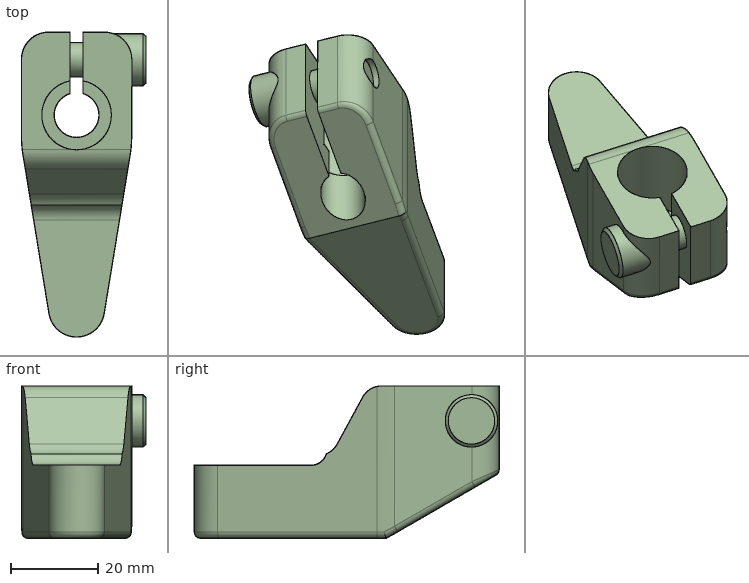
import cadquery as cq
import math


length = 69.8
height = 34.9
width = 25.3
half_width = width / 2
corner_radius = 6.3

nose_radius = 6.4
taper_angle = math.radians(9.3)
taper_blend_radius = 25.15

top_flat_end = 26.9
shoulder_radius = 5.0
ramp_angle = math.radians(61.5)
ramp_end_y = -37.1
step_y = -39.6
step_z = 19.35
step_radius = 5.0
toe_radius = 3.55
lever_start_y = -43.0
lever_top_z = 16.75
foot_start = 25.85
underside_angle = math.radians(30)
bottom_fillet = 1.5

bore_y = -19.0
bore_radius = 7.95
bore_depth = 20.95
through_hole_radius = 5.1
slot_width = 2.9

screw_y = -6.35
screw_z = 26.9
shank_radius = 4.0
head_radius = 6.0
head_height = 3.3
head_chamfer = 0.7
tip_hole_radius = 3.5
tip_hole_depth = 1.4


def make_plan(foot_z=0):
    """Block with rounded rear corners, tapered sides and a round nose, from foot_z to the top."""
    nose_y = -length + nose_radius
    tangent_x = nose_radius * math.cos(taper_angle)
    tangent_y = nose_y - nose_radius * math.sin(taper_angle)
    bend_y = tangent_y + (half_width - tangent_x) / math.tan(taper_angle)
    outline = (
        cq.Workplane("XY", origin=(0, 0, foot_z))
        .moveTo(-half_width, 0)
        .lineTo(half_width, 0)
        .lineTo(half_width, bend_y)
        .lineTo(tangent_x, tangent_y)
        .threePointArc((0, -length), (-tangent_x, tangent_y))
        .lineTo(-half_width, bend_y)
        .close()
    )
    block = outline.extrude(height - foot_z)
    block = block.edges("|Z and >Y").fillet(corner_radius)
    middle_z = (height + foot_z) / 2
    for bend_x in (-half_width, half_width):
        bend = cq.selectors.NearestToPointSelector((bend_x, bend_y, middle_z))
        block = block.edges("|Z").edges(bend).fillet(taper_blend_radius)
    return block


def make_profile():
    """Side profile in Y and Z, extruded across the full width."""
    ramp_start_y = -top_flat_end - shoulder_radius * math.sin(ramp_angle)
    ramp_start_z = height - shoulder_radius * (1 - math.cos(ramp_angle))
    ramp_end_z = ramp_start_z - (ramp_start_y - ramp_end_y) * math.tan(ramp_angle)
    return (
        cq.Workplane("YZ")
        .moveTo(0, 0)
        .lineTo(0, height)
        .lineTo(-top_flat_end, height)
        .radiusArc((ramp_start_y, ramp_start_z), -shoulder_radius)
        .lineTo(ramp_end_y, ramp_end_z)
        .radiusArc((step_y, step_z), step_radius)
        .radiusArc((lever_start_y, lever_top_z), toe_radius)
        .lineTo(-length, lever_top_z)
        .lineTo(-length, 0)
        .close()
        .extrude(half_width, both=True)
    )


def make_flat_block():
    """Plan block standing on the flat foot, with a rounded bottom rim."""
    return make_plan().faces("<Z").edges().fillet(bottom_fillet)


def make_sloped_block():
    """Plan block ending below in one long slope through the foot line, with a rounded rim."""
    column = make_plan(-length)
    front_z = (foot_start - length) * math.tan(underside_angle)
    rear_z = foot_start * math.tan(underside_angle)
    above_slope = (
        cq.Workplane("YZ")
        .polyline([(0, rear_z), (0, height), (-length, height), (-length, front_z)])
        .close()
        .extrude(half_width, both=True)
    )
    sloped = column.intersect(above_slope)
    slope_normal = cq.Vector(0, math.sin(underside_angle), -math.cos(underside_angle))
    underside = cq.selectors.ParallelDirSelector(slope_normal)
    return sloped.faces(underside).edges().fillet(bottom_fillet)


def cut_clamp(body):
    """Stepped bore, opened to the rear by a slot."""
    bore_top = cq.Workplane("XY", origin=(0, bore_y, height))
    bore = bore_top.circle(bore_radius).extrude(-bore_depth)
    through_hole = bore_top.circle(through_hole_radius).extrude(-height)
    slot = cq.Workplane("XY").box(slot_width, -bore_y, height, centered=(True, False, False))
    slot = slot.translate((0, bore_y, 0))
    return body.cut(bore).cut(through_hole).cut(slot)


def screw_cylinder(radius, start_x, end_x):
    """Cylinder on the screw axis between two X positions."""
    plane = cq.Workplane("YZ", origin=(start_x, screw_y, screw_z))
    return plane.circle(radius).extrude(end_x - start_x)


def add_screw(body):
    """Shank bridging the slot, head on the +X side and a shallow hole at the tip."""
    shank = screw_cylinder(shank_radius, -slot_width, slot_width)
    head = screw_cylinder(head_radius, half_width - corner_radius, half_width + head_height)
    head = head.faces(">X").edges().chamfer(head_chamfer)
    tip_hole = screw_cylinder(tip_hole_radius, -half_width, -half_width + tip_hole_depth)
    return body.union(shank).union(head).cut(tip_hole)


body = make_flat_block().intersect(make_sloped_block()).intersect(make_profile())
body = cut_clamp(body)
result = add_screw(body)